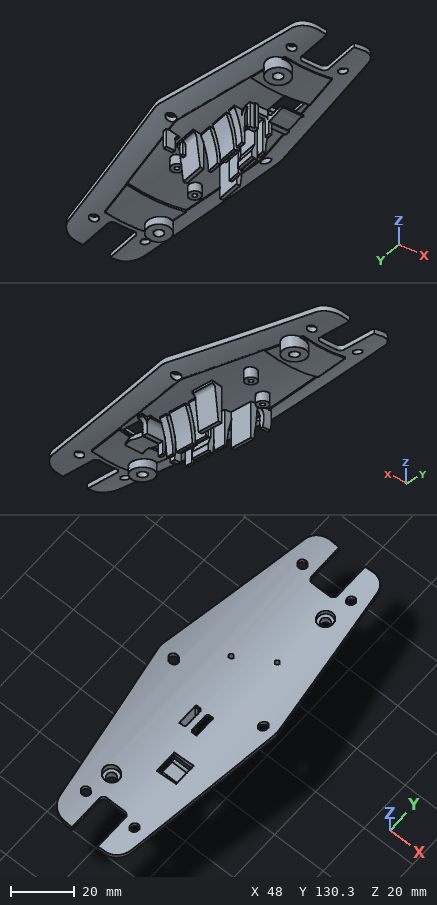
import cadquery as cq
import math

plate_length = 130.3
plate_width = 48.0
total_height = 20.0
plate_thickness = 2.0
upper_radius = 55.0
lower_radius = upper_radius + plate_thickness
half_width = plate_width / 2
half_length = plate_length / 2
bend_axis_z = total_height + math.sqrt(upper_radius**2 - half_width**2)
plate_bottom_z = bend_axis_z - lower_radius

side_flat = 2.0
end_half_width = 14.1
corner_radius = 6.5
notch_width = 10.5
notch_depth = 15.1
notch_radius = 1.5

panel_margin = 7.4
panel_half_length = 48.0
recess_half_length = 33.1
panel_step = 0.4

corner_hole_x = 10.0
corner_hole_y = 52.8
corner_hole_diameter = 3.3
side_hole_x = 18.5
side_hole_diameter = 3.5

boss_x = 8.0
boss_y = 42.7
boss_diameter = 9.0
boss_bottom_z = 9.4
boss_hole_diameter = 3.5
counterbore_diameter = 6.1
counterbore_floor_z = 12.8

post_positions = [(6.3, 21.2), (-6.3, 13.5)]
post_diameter = 4.5
post_hole_diameter = 1.7
post_bottom_z = 9.8

outer_wall_span = (-0.9, 8.1)
outer_wall_inner_x = 6.4
outer_wall_tip_x = 7.8
outer_wall_root_x = 9.2
outer_wall_root_z = 11.7
outer_wall_fillet = 1.3

inner_wall_span = (-18.8, -0.9)
inner_wall_inner_x = 3.5
inner_wall_tip_x = 4.5
inner_wall_middle = (5.2, 5.9)
inner_wall_root_x = 7.5
inner_wall_root_z = 13.0
inner_wall_end_fillet = 2.1
finger_span = (-14.5, -7.2)
slit_width = 1.4

tooth_tip_x = 2.3
tooth_bottom_z = 0.4
tooth_face_top_z = 2.9
tooth_ramp_top_z = 5.9
slot_inner_x = 1.2
slot_clearance = 0.4
slot_corner_radius = 0.8

cross_wall_back_y = -22.0
cross_wall_front_y = -23.5
rib_front_y = -24.1
cross_wall_left_x = -4.8
cross_wall_right_x = 10.0
cross_wall_bottom_z = 10.2
cross_wall_fillet = 1.4
cross_wall_end_fillet = 2.1
arch_radius = 0.8
rib_inner_x = 2.1
left_rib_outer_x = -3.3
right_rib_outer_x = 3.1
rib_bottom_z = 3.3

window_back_y = -24.0
window_front_y = -32.5
arm_block_bottom_z = 7.8
arm_right_x = 9.6
arm_root_y = -25.1
arm_bend_y = -28.4
arm_crest_y = -30.0
arm_tip_y = -32.3
arm_root_bottom_z = 8.1
arm_root_top_z = 10.0
arm_root_chamfer = 0.8
arm_crest_z = 10.3
arm_bend_bottom_z = 8.6
arm_crest_bottom_z = 9.0
arm_tip_bottom_z = 8.2
arm_tip_top_z = 8.9

prong_span = (4.8, 6.5)
prong_tip_back_y = 6.1
prong_taper_z = 9.6
prong_bottom_z = 7.8
prong_fillet = 2.1
prong_x_ranges = [(-16.8, -13.4), (-10.4, -9.2)]


def block(x_range, y_range, z_range):
    """Box between the given limits; the two values of a range may come in either order."""
    ranges = [sorted(limits) for limits in (x_range, y_range, z_range)]
    sizes = [high - low for low, high in ranges]
    corner = tuple(low for low, high in ranges)
    return cq.Workplane("XY").box(*sizes, centered=False).translate(corner)


def rod(x, y, diameter, bottom_z):
    """Upright cylinder that reaches up to the highest level of the plate."""
    height = total_height - bottom_z
    return cq.Workplane("XY").workplane(offset=bottom_z).center(x, y).circle(diameter / 2).extrude(height)


def bend_cylinder(radius):
    return cq.Workplane("XZ").center(0, bend_axis_z).circle(radius).extrude(half_length, both=True)


def side_x(y):
    """Half width of the plate at distance y from the middle."""
    taper = (half_width - end_half_width) / (half_length - side_flat / 2)
    return half_width - taper * (y - side_flat / 2)


def tapered_prism(end_y, inset):
    """Upright prism with the plate's tapered sides moved in by inset, ending at +-end_y."""
    wide_x = half_width - inset
    end_x = side_x(end_y) - inset
    flat_y = side_flat / 2
    corners = [(wide_x, -flat_y), (wide_x, flat_y), (end_x, end_y), (-end_x, end_y),
               (-wide_x, flat_y), (-wide_x, -flat_y), (-end_x, -end_y), (end_x, -end_y)]
    return cq.Workplane("XY").polyline(corners).close().extrude(total_height)


def make_plate():
    outline = tapered_prism(half_length, 0).edges("|Z and (>Y or <Y)").fillet(corner_radius)
    for end in (-1, 1):
        notch = (cq.Workplane("XY").center(0, end * half_length)
                 .rect(notch_width, 2 * notch_depth).extrude(total_height)
                 .edges("|Z").fillet(notch_radius))
        outline = outline.cut(notch)

    curved = bend_cylinder(lower_radius).cut(bend_cylinder(upper_radius))
    raised_layer = bend_cylinder(lower_radius + panel_step).cut(bend_cylinder(upper_radius))
    recess_layer = bend_cylinder(lower_radius).cut(bend_cylinder(lower_radius - panel_step))
    recess = tapered_prism(recess_half_length, panel_margin)
    raised_ends = tapered_prism(panel_half_length, panel_margin).cut(recess)
    plate = outline.intersect(curved)
    plate = plate.union(raised_ends.intersect(raised_layer))
    return plate.cut(recess.intersect(recess_layer))


def mirrored_pair(shape):
    return shape.union(shape.mirror("YZ"))


def make_outer_walls():
    fillet_x = outer_wall_root_x + outer_wall_fillet
    fillet_z = outer_wall_root_z + outer_wall_fillet
    bulge = outer_wall_fillet * math.sqrt(0.5)
    back_y, front_y = outer_wall_span[1], outer_wall_span[0]
    wall = (cq.Workplane("XZ", origin=(0, back_y, 0))
            .moveTo(outer_wall_inner_x, 0).lineTo(outer_wall_tip_x, 0)
            .lineTo(outer_wall_root_x, outer_wall_root_z)
            .threePointArc((fillet_x - bulge, outer_wall_root_z + bulge), (fillet_x, fillet_z))
            .lineTo(fillet_x, total_height).lineTo(outer_wall_inner_x, total_height)
            .close().extrude(back_y - front_y))
    return mirrored_pair(wall)


def root_z(x):
    """Level of the plain underside of the plate at a distance x from the middle."""
    return bend_axis_z - math.sqrt(lower_radius**2 - x**2)


def root_fillet(plane, face, direction, radius, top_z):
    """Outline of a concave fillet under the plate, beside a wall face that looks along direction."""
    outer = face + direction * radius
    bulge = radius * math.sqrt(0.5)
    return (plane.moveTo(face, top_z - radius)
            .threePointArc((outer - direction * bulge, top_z - radius + bulge), (outer, top_z))
            .lineTo(outer, total_height).lineTo(face, total_height).close())


def fillet_along_x(x_range, face_y, direction, radius):
    plane = cq.Workplane("YZ", origin=(x_range[0], 0, 0))
    recess_z = plate_bottom_z + panel_step
    return root_fillet(plane, face_y, direction, radius, recess_z).extrude(x_range[1] - x_range[0])


def fillet_along_y(y_range, face_x, radius):
    plane = cq.Workplane("XZ", origin=(0, y_range[1], 0))
    return root_fillet(plane, face_x, 1, radius, root_z(face_x)).extrude(y_range[1] - y_range[0])


def make_inner_walls():
    front_y, back_y = inner_wall_span
    wall = (cq.Workplane("XZ", origin=(0, back_y, 0))
            .moveTo(inner_wall_inner_x, 0).lineTo(inner_wall_tip_x, 0)
            .threePointArc(inner_wall_middle, (inner_wall_root_x, inner_wall_root_z))
            .lineTo(inner_wall_root_x, total_height).lineTo(inner_wall_inner_x, total_height)
            .close().extrude(back_y - front_y))
    finger_front_y, finger_back_y = finger_span
    slit_x_range = (inner_wall_inner_x, inner_wall_root_x)
    for slit_y in (finger_front_y - slit_width, finger_back_y):
        wall = wall.cut(block(slit_x_range, (slit_y, slit_y + slit_width), (0, total_height)))

    tooth = (cq.Workplane("XZ", origin=(0, finger_back_y, 0)).polyline([
        (inner_wall_inner_x, tooth_bottom_z), (tooth_tip_x, tooth_bottom_z),
        (tooth_tip_x, tooth_face_top_z), (inner_wall_inner_x, tooth_ramp_top_z)])
        .close().extrude(finger_back_y - finger_front_y))
    end_fillet = fillet_along_x((inner_wall_inner_x, inner_wall_tip_x), front_y, -1, inner_wall_end_fillet)
    return mirrored_pair(wall.union(tooth).union(end_fillet))


def make_cross_wall():
    wall_y = (cross_wall_back_y, cross_wall_front_y)
    rib_y = (cross_wall_back_y, rib_front_y)
    wall = block((cross_wall_left_x, cross_wall_right_x), wall_y, (rib_bottom_z, total_height))
    arch = block((-rib_inner_x, rib_inner_x), wall_y, (0, cross_wall_bottom_z))
    wall = wall.cut(arch.edges("|Y and >Z").fillet(arch_radius))
    right_side = (right_rib_outer_x, cross_wall_right_x)
    wall = wall.cut(block(right_side, wall_y, (0, arm_block_bottom_z)))
    for rib_x in ((left_rib_outer_x, -rib_inner_x), (rib_inner_x, right_rib_outer_x)):
        wall = wall.union(block(rib_x, rib_y, (rib_bottom_z, total_height)))
    arm_block = block((rib_inner_x, cross_wall_right_x), rib_y, (arm_block_bottom_z, total_height))
    wall_x = (cross_wall_left_x, cross_wall_right_x)
    back_fillet = fillet_along_x(wall_x, cross_wall_back_y, 1, cross_wall_fillet)
    end_y = (rib_front_y, cross_wall_back_y)
    end_fillet = fillet_along_y(end_y, cross_wall_right_x, cross_wall_end_fillet)
    return wall.union(arm_block).union(back_fillet).union(end_fillet)


def make_latch_arm():
    return (cq.Workplane("YZ", origin=(rib_inner_x, 0, 0))
            .moveTo(cross_wall_front_y, arm_root_bottom_z).lineTo(arm_root_y, arm_root_bottom_z)
            .lineTo(arm_bend_y, arm_bend_bottom_z)
            .threePointArc((arm_crest_y, arm_crest_bottom_z), (arm_tip_y, arm_tip_bottom_z))
            .lineTo(arm_tip_y, arm_tip_top_z).lineTo(arm_crest_y, arm_crest_z)
            .lineTo(arm_bend_y, arm_crest_z).lineTo(arm_root_y, arm_root_top_z)
            .lineTo(rib_front_y, arm_root_top_z + arm_root_chamfer)
            .lineTo(cross_wall_front_y, arm_root_top_z + arm_root_chamfer)
            .close().extrude(arm_right_x - rib_inner_x))


def make_prong(x_range):
    front_y, back_y = prong_span
    return (cq.Workplane("YZ", origin=(x_range[0], 0, 0)).polyline([
        (front_y, prong_bottom_z), (prong_tip_back_y, prong_bottom_z),
        (back_y, prong_taper_z), (back_y, total_height), (front_y, total_height)])
        .close().extrude(x_range[1] - x_range[0]))


def make_slots():
    front_y = finger_span[0] - slot_clearance
    back_y = finger_span[1] + slot_clearance
    slot = block((slot_inner_x, inner_wall_inner_x), (front_y, back_y), (plate_bottom_z, total_height))
    return mirrored_pair(slot.edges("|Z and <X").fillet(slot_corner_radius))


def make_holes():
    holes = []
    for side in (-1, 1):
        for end in (-1, 1):
            holes.append(rod(side * corner_hole_x, end * corner_hole_y, corner_hole_diameter, 0))
        holes.append(rod(side * side_hole_x, 0, side_hole_diameter, 0))
        holes.append(rod(side * boss_x, side * boss_y, boss_hole_diameter, 0))
        holes.append(rod(side * boss_x, side * boss_y, counterbore_diameter, counterbore_floor_z))
    for x, y in post_positions:
        holes.append(rod(x, y, post_hole_diameter, 0))
    return holes


hanging = [make_outer_walls(), make_inner_walls(), make_cross_wall()]
for turn in (-1, 1):
    hanging.append(rod(turn * boss_x, turn * boss_y, boss_diameter, boss_bottom_z))
for post_x, post_y in post_positions:
    hanging.append(rod(post_x, post_y, post_diameter, post_bottom_z))
for prong_x in prong_x_ranges:
    hanging.append(make_prong(prong_x))
hanging.append(fillet_along_y(prong_span, prong_x_ranges[0][1], prong_fillet))

result = make_plate()
hanging_limit = bend_cylinder(upper_radius + plate_thickness / 2)
for feature in hanging:
    result = result.union(feature.cut(hanging_limit))

for hole in make_holes():
    result = result.cut(hole)
result = result.cut(make_slots())
window_x = (rib_inner_x, cross_wall_right_x)
result = result.cut(block(window_x, (window_back_y, window_front_y), (plate_bottom_z, total_height)))
result = result.union(make_latch_arm())